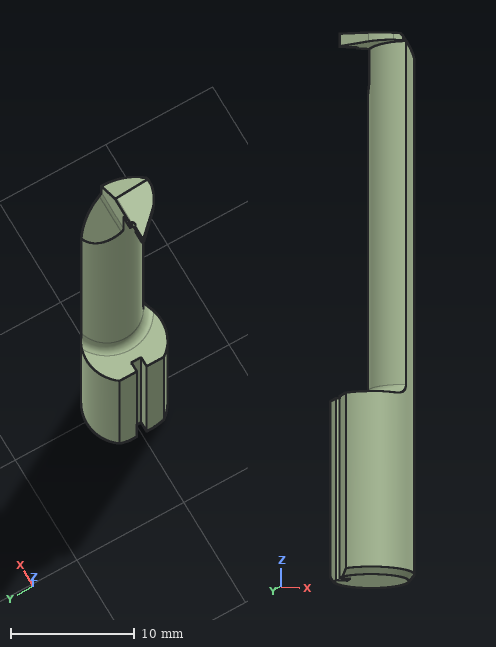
import cadquery as cq
import math

total_length = 45.0
shank_radius = 3.5
shank_length = 15.05
flat_x = -2.85
slot_floor_x = -1.95
slot_width = 0.9
base_chamfer_width = 0.45
base_chamfer_height = 0.55

neck_left_x = -0.15
neck_radius = 2.95
neck_center_x = neck_left_x + neck_radius
neck_fillet = 0.8

relief_y = 0.15
relief_bend_z = 41.3
relief_bend_radius = 0.9
relief_slope = math.radians(39)

tip_x = -2.75
rake_y = -0.068
tip_land_y = -0.25
flank_end = (-0.95, -2.1)
flank_middle = (-0.22, -2.65)
heel = (0.9, -3.05)
rake_end_x = -1.15
groove_depth = 0.112
groove_length = 0.55
head_bottom_z = 43.9
underside_rise = 0.25
top_drop = 0.22
top_bevel = 2.25


def make_shank():
    shank = (
        cq.Workplane("XZ")
        .moveTo(0, 0)
        .lineTo(shank_radius - base_chamfer_width, 0)
        .lineTo(shank_radius, base_chamfer_height)
        .lineTo(shank_radius, shank_length)
        .lineTo(0, shank_length)
        .close()
        .revolve(360, (0, 0, 0), (0, 1, 0))
    )
    flat_cut = cq.Workplane("XY").box(
        shank_radius, 2 * shank_radius, shank_length, centered=(False, True, False)
    ).translate((flat_x - shank_radius, 0, 0))
    slot = cq.Workplane("XY").box(
        slot_floor_x + shank_radius, slot_width, shank_length, centered=(False, True, False)
    ).translate((-shank_radius, 0, 0))
    return shank.cut(flat_cut).cut(slot)


def make_bar_envelope():
    """Full-length cylinder of the bar that the tool is ground from."""
    return cq.Workplane("XY").circle(shank_radius).extrude(total_length)


def make_neck():
    """Neck cylinder with a flared foot, trimmed to the shank cylinder."""
    arc_inset = neck_fillet * (1 - math.sqrt(0.5))
    neck = (
        cq.Workplane("XZ")
        .moveTo(0, shank_length)
        .lineTo(neck_radius + neck_fillet, shank_length)
        .threePointArc(
            (neck_radius + arc_inset, shank_length + arc_inset),
            (neck_radius, shank_length + neck_fillet),
        )
        .lineTo(neck_radius, total_length - top_drop)
        .lineTo(0, total_length - top_drop)
        .close()
        .revolve(360, (0, 0, 0), (0, 1, 0))
        .translate((neck_center_x, 0, 0))
    )
    return neck.intersect(make_bar_envelope())


def make_head():
    """Hooked cutting head with sloping top and underside."""
    plan = (
        cq.Workplane("XY")
        .moveTo(tip_x, rake_y)
        .lineTo(tip_x, tip_land_y)
        .lineTo(*flank_end)
        .threePointArc(flank_middle, heel)
        .lineTo(shank_radius, heel[1])
        .lineTo(shank_radius, relief_y)
        .lineTo(rake_end_x, relief_y)
        .lineTo(rake_end_x, rake_y)
        .threePointArc(
            (rake_end_x - groove_length / 2, rake_y - groove_depth),
            (rake_end_x - groove_length, rake_y),
        )
        .close()
        .extrude(total_length)
    )
    heel_y = heel[1]
    side_profile = (
        cq.Workplane("YZ")
        .moveTo(relief_y, head_bottom_z)
        .lineTo(relief_y, total_length)
        .lineTo(0, total_length)
        .lineTo(heel_y, total_length - top_drop)
        .lineTo(heel_y, head_bottom_z + underside_rise)
        .lineTo(0, head_bottom_z)
        .close()
        .extrude(shank_radius, both=True)
    )
    return plan.intersect(side_profile).intersect(make_bar_envelope())


def make_relief():
    """Volume behind the rake plane, running out along a rounded slope."""
    def on_bend(angle):
        return (
            relief_y + relief_bend_radius * (1 - math.cos(angle)),
            relief_bend_z - relief_bend_radius * math.sin(angle),
        )

    bend_end = on_bend(relief_slope)
    slope_end_z = bend_end[1] - (shank_radius - bend_end[0]) / math.tan(relief_slope)
    return (
        cq.Workplane("YZ")
        .moveTo(relief_y, total_length)
        .lineTo(relief_y, relief_bend_z)
        .threePointArc(on_bend(relief_slope / 2), bend_end)
        .lineTo(shank_radius, slope_end_z)
        .lineTo(shank_radius, total_length)
        .close()
        .extrude(shank_radius, both=True)
    )


def make_top_bevel():
    """45 degree wedge along the upper +X edge."""
    return (
        cq.Workplane("XZ")
        .moveTo(shank_radius - top_bevel, total_length)
        .lineTo(shank_radius, total_length - top_bevel)
        .lineTo(shank_radius, total_length)
        .close()
        .extrude(shank_radius, both=True)
    )


neck_and_head = make_neck().cut(make_relief()).union(make_head()).cut(make_top_bevel())
result = make_shank().union(neck_and_head)